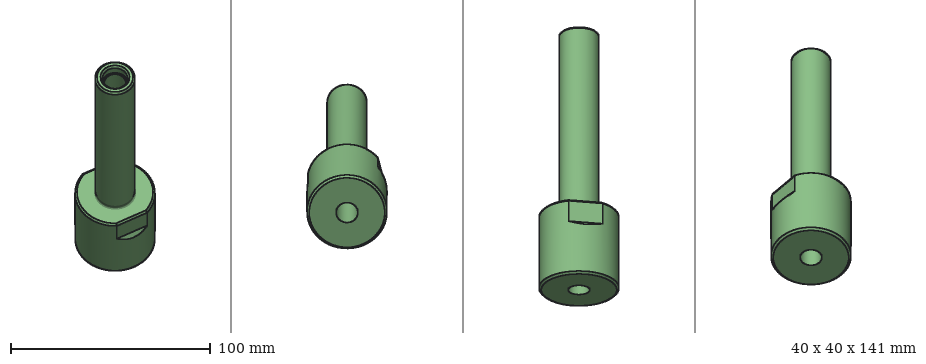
import cadquery as cq

total_height = 141.0
head_height = 41.2

head_diameter = 40.0
head_bottom_chamfer = 1.1
head_top_chamfer = 1.0
flat_spacing = 36.1
flat_bottom = 29.0

shank_diameter = 20.0
shank_top_chamfer = 1.0
groove_diameter = 19.6
groove_height = 1.3
groove_fillet = 0.4
groove_taper = 0.8

bore_diameter = 10.9
counterbore_diameter = 12.5
counterbore_depth = 5.1
counterbore_chamfer = 1.0


def make_head():
    """Round head with chamfered rims and two opposite flats ending in 45 degree run-outs."""
    radius = head_diameter / 2
    head = cq.Workplane("XY").circle(radius).extrude(head_height)
    head = head.faces("<Z").chamfer(head_bottom_chamfer)
    flat_x = flat_spacing / 2
    flat_depth = radius - flat_x
    for side in (-1, 1):
        cutter = (
            cq.Workplane("XZ")
            .moveTo(side * flat_x, head_height)
            .lineTo(side * flat_x, flat_bottom)
            .lineTo(side * (radius + flat_depth), flat_bottom - 2 * flat_depth)
            .lineTo(side * (radius + flat_depth), head_height)
            .close()
            .extrude(radius, both=True)
        )
        head = head.cut(cutter)
    return head.faces(">Z").chamfer(head_top_chamfer)


def make_shank():
    """Turned shank with a chamfered tip and a shallow groove that flares into the head."""
    shank_radius = shank_diameter / 2
    groove_radius = groove_diameter / 2
    groove_top = head_height + groove_height
    profile = (
        cq.Workplane("XZ")
        .moveTo(0, 0)
        .lineTo(groove_radius + groove_fillet, 0)
        .lineTo(groove_radius + groove_fillet, head_height)
        .radiusArc((groove_radius, head_height + groove_fillet), groove_fillet)
        .lineTo(groove_radius, groove_top)
        .lineTo(shank_radius, groove_top + groove_taper)
        .lineTo(shank_radius, total_height - shank_top_chamfer)
        .lineTo(shank_radius - shank_top_chamfer, total_height)
        .lineTo(0, total_height)
        .close()
    )
    return profile.revolve(360, (0, 0, 0), (0, 1, 0))


def make_bore():
    """Solid filling the through bore, its counterbore and the entry chamfer."""
    bore_radius = bore_diameter / 2
    counterbore_radius = counterbore_diameter / 2
    counterbore_floor = total_height - counterbore_depth
    profile = (
        cq.Workplane("XZ")
        .moveTo(0, 0)
        .lineTo(bore_radius, 0)
        .lineTo(bore_radius, counterbore_floor)
        .lineTo(counterbore_radius, counterbore_floor)
        .lineTo(counterbore_radius, total_height - counterbore_chamfer)
        .lineTo(counterbore_radius + counterbore_chamfer, total_height)
        .lineTo(0, total_height)
        .close()
    )
    return profile.revolve(360, (0, 0, 0), (0, 1, 0))


result = make_head().union(make_shank()).cut(make_bore())